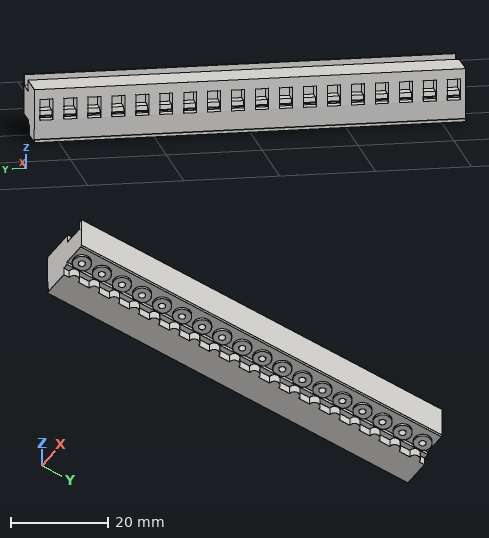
import cadquery as cq

LENGTH = 90.0
WIDTH = 12.4
HEIGHT = 11.3

POLE_COUNT = 18
PITCH = LENGTH / POLE_COUNT

GROOVE_START = 7.4
GROOVE_DEPTH = 2.25
THIN_WALL = 0.8

FOOT_WIDTH = 7.2
SHELF_Z = 2.9
SHELF_CHAMFER = 0.3

LUG_HEIGHT = 2.1
LUG_RADIUS = 1.2

LEAN_TOP_Z = 4.8
LEAN_INSET = 0.4
LIP_HEIGHT = 0.6

ENTRY_WIDTH = 2.7
ENTRY_TOP_Z = 9.2
ENTRY_DEPTH = 3.6
CEILING_DROP = 0.3
SILL_DEPTH = 0.6
SILL_BACK_Z = 5.1
STEP_FRONT_Z = 5.4
STEP_DEPTH = 1.1
STEP_BACK_Z = 5.5
FLOOR_DEPTH = 1.3
FLOOR_Z = 6.5

HOLE_X = 8.9
HOLE_DIAMETER = 1.4
COLLAR_DIAMETER = 4.0
COLLAR_HEIGHT = 0.5


def pole_positions(x):
    """Points at distance x from the wire side, one per pole."""
    first_y = -(LENGTH - PITCH) / 2
    return [(x, first_y + i * PITCH) for i in range(POLE_COUNT)]


def extrude_along_y(points, length):
    """Solid with an XZ outline, centred on y = 0."""
    return cq.Workplane("XZ").polyline(points).close().extrude(length / 2, both=True)


def housing():
    """Bar with the main cross-section over the full length."""
    groove_z = HEIGHT - GROOVE_DEPTH
    recess_x = FOOT_WIDTH - LUG_RADIUS
    groove_end = WIDTH - THIN_WALL
    return extrude_along_y(
        [
            (0, 0),
            (recess_x, 0),
            (recess_x, LUG_HEIGHT),
            (FOOT_WIDTH, LUG_HEIGHT),
            (FOOT_WIDTH, SHELF_Z),
            (WIDTH - SHELF_CHAMFER, SHELF_Z),
            (WIDTH, SHELF_Z + SHELF_CHAMFER),
            (WIDTH, HEIGHT),
            (groove_end, HEIGHT),
            (groove_end, groove_z),
            (GROOVE_START, groove_z),
            (GROOVE_START, HEIGHT),
            (0, HEIGHT),
            (0, LEAN_TOP_Z),
            (LEAN_INSET, LIP_HEIGHT),
            (0, LIP_HEIGHT),
        ],
        LENGTH,
    )


def wire_entry():
    """One pocket, opening on the wire side and centred on y = 0."""
    return extrude_along_y(
        [
            (0, LEAN_TOP_Z),
            (SILL_DEPTH, SILL_BACK_Z),
            (SILL_DEPTH, STEP_FRONT_Z),
            (STEP_DEPTH, STEP_BACK_Z),
            (FLOOR_DEPTH, FLOOR_Z),
            (ENTRY_DEPTH, FLOOR_Z),
            (ENTRY_DEPTH, ENTRY_TOP_Z - CEILING_DROP),
            (0, ENTRY_TOP_Z),
        ],
        ENTRY_WIDTH,
    )


def posts(x, diameter, bottom_z, top_z):
    """Upright cylinders at distance x from the wire side, one per pole."""
    return (
        cq.Workplane("XY", origin=(0, 0, bottom_z))
        .pushPoints(pole_positions(x))
        .circle(diameter / 2)
        .extrude(top_z - bottom_z)
    )


lugs = posts(FOOT_WIDTH - LUG_RADIUS, 2 * LUG_RADIUS, 0, SHELF_Z)
collars = posts(HOLE_X, COLLAR_DIAMETER, SHELF_Z - COLLAR_HEIGHT, SHELF_Z + COLLAR_HEIGHT)
holes = posts(HOLE_X, HOLE_DIAMETER, 0, HEIGHT)

result = housing().union(lugs).union(collars).cut(holes)
entry = wire_entry()
for pole_x, pole_y in pole_positions(0):
    result = result.cut(entry.translate((pole_x, pole_y, 0)))